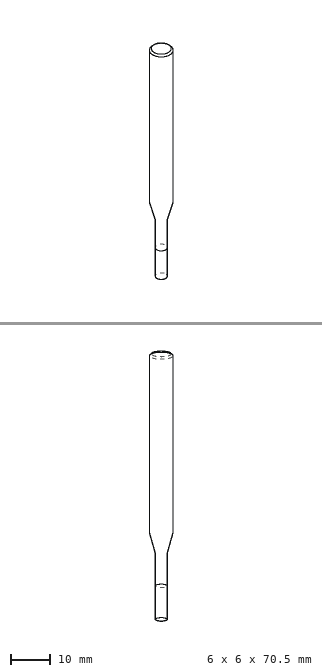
import cadquery as cq
import math

total_length = 70.55
shank_diameter = 6.0
drill_diameter = 3.0
point_angle = 140.0
cutting_length = 9.4
neck_end = 17.9
taper_end = 23.4
shank_chamfer = 0.5

shank_radius = shank_diameter / 2
drill_radius = drill_diameter / 2
point_height = drill_radius / math.tan(math.radians(point_angle / 2))


def revolve_about_z(profile):
    """Turn a closed (radius, height) outline into a solid around the Z axis."""
    return cq.Workplane("XZ").polyline(profile).close().revolve(360, (0, 0), (0, 1))


def make_cutting_part():
    """Cylindrical cutting part with a conical point at the bottom."""
    return revolve_about_z([
        (0, 0),
        (drill_radius, point_height),
        (drill_radius, cutting_length),
        (0, cutting_length),
    ])


def make_holder():
    """Neck, taper and shank, with a chamfer around the shank's top end."""
    return revolve_about_z([
        (0, cutting_length),
        (drill_radius, cutting_length),
        (drill_radius, neck_end),
        (shank_radius, taper_end),
        (shank_radius, total_length - shank_chamfer),
        (shank_radius - shank_chamfer, total_length),
        (0, total_length),
    ])


cutting_part = make_cutting_part()
holder = make_holder()

result = cq.Compound.makeCompound([cutting_part.val(), holder.val()])